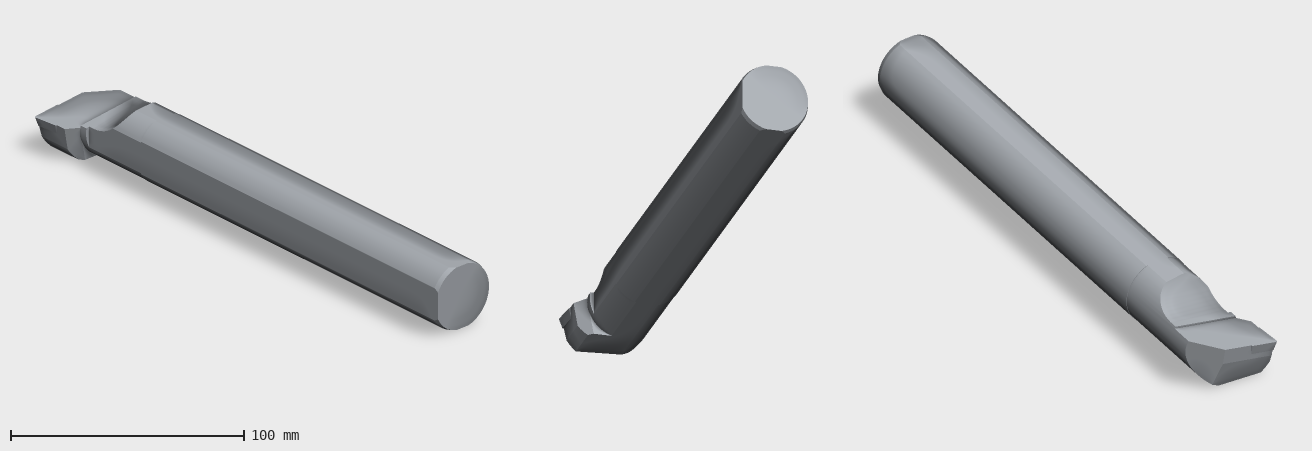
import cadquery as cq
import math

length = 251.2
shank_radius = 15.95
neck_radius = 15.73
flat_height = 30.0
side_flat_y = -13.95
neck_end = 59.8
side_flat_start = 26.5
rear_chamfer_length = 2.3
rear_chamfer_depth = 0.63

roll = 10.0
head_top = 4.0
floor_top = 5.0
head_body_radius = 21.0
nose_back = (22.5, -15.3)
nose_bevel = (17.8, -20.0)
front_corner = (0.63, -20.0)
chamfer_front = (2.8, 4.0)
chamfer_back = (19.5, 20.0)
step_low = (22.75, -15.8)
step_high = (25.0, 14.3)
scoop_start = 29.0
scoop_radius = 20.0
front_land = 7.0
front_relief = 10.0
front_lean = 5.0

insert_tip = (-0.08, -21.68)
insert_width = 12.7
insert_thickness = 4.5
insert_angle = 80.0
insert_relief = 7.0
nose_radius = 0.8
stud_diameter = 7.5

reach = 100.5


def box(x0, x1, y0, y1, z0, z1):
    return cq.Workplane("XY").box(x1 - x0, y1 - y0, z1 - z0, centered=False).translate((x0, y0, z0))


def rod(radius, x0, x1):
    return cq.Workplane("YZ").workplane(offset=x0).circle(radius).extrude(x1 - x0)


def rolled(body):
    """Turn a body from the level head position to its rolled position."""
    return body.rotate((0, 0, 0), (1, 0, 0), roll)


def make_shank():
    chamfer_start = length - rear_chamfer_length
    profile = [
        (0, 0), (0, neck_radius), (neck_end, neck_radius),
        (neck_end, shank_radius), (chamfer_start, shank_radius),
        (length, shank_radius - rear_chamfer_depth), (length, 0),
    ]
    bar = cq.Workplane("XY").polyline(profile).close().revolve(360, (0, 0, 0), (1, 0, 0))
    side = box(side_flat_start, length, -reach, side_flat_y, -reach, reach)
    return bar.cut(side)


def make_nose():
    """Side of the head that reaches beyond the round neck."""
    outline = [(0, 0), (0, front_corner[1]), nose_bevel, nose_back, (nose_back[0], 0)]
    block = rolled(
        cq.Workplane("XY").workplane(offset=-reach / 2).polyline(outline).close().extrude(reach)
    )
    return block.intersect(rod(head_body_radius, -reach, reach))


def make_front_cut():
    """Space in front of the leaning front face and the corner chamfer."""
    below = reach * math.tan(math.radians(front_lean))
    outline = [
        (-reach, -reach), (front_corner[0] - below, front_corner[1] - reach),
        front_corner, chamfer_front, chamfer_back, (-reach, chamfer_back[1]),
    ]
    return rolled(
        cq.Workplane("XY").workplane(offset=-reach / 2).polyline(outline).close().extrude(reach)
    )


def make_front_relief():
    """Wedge removed below the front land, leaning back toward the bottom."""
    top = head_top - front_land
    setback = reach * math.tan(math.radians(front_relief))
    wedge = (
        cq.Workplane("XZ").polyline([(-reach, top), (0, top), (setback, top - reach), (-reach, top - reach)])
        .close().extrude(reach, both=True)
    )
    wedge = wedge.rotate((0, 0, 0), (0, 0, 1), -front_lean).translate((*front_corner, 0))
    return rolled(wedge)


def make_scoop():
    """Space above the floor, rising along an arc to the top of the bar."""
    arc_mid_x = scoop_start + scoop_radius * math.sin(math.pi / 4)
    arc_mid_z = floor_top + scoop_radius * (1 - math.cos(math.pi / 4))
    scoop = (
        cq.Workplane("XZ").moveTo(-reach, floor_top).lineTo(scoop_start, floor_top)
        .threePointArc((arc_mid_x, arc_mid_z), (scoop_start + scoop_radius, floor_top + scoop_radius))
        .lineTo(-reach, floor_top + scoop_radius).close().extrude(reach, both=True)
    )
    return rolled(scoop)


def make_face_cut():
    """Lower the head face in front of the slanted step."""
    slope = (step_high[0] - step_low[0]) / (step_high[1] - step_low[1])
    axis_x = step_low[0] - slope * step_low[1]
    run = slope * reach
    cut = (
        cq.Workplane("XY").workplane(offset=head_top)
        .polyline([(-reach, -reach), (axis_x - run, -reach), (axis_x + run, reach), (-reach, reach)])
        .close().extrude(reach)
    )
    return rolled(cut)


insert_side = insert_width / math.sin(math.radians(insert_angle))
edge_lean = math.radians((90 - insert_angle) / 2)
long_step = insert_side * math.cos(edge_lean)
short_step = insert_side * math.sin(edge_lean)
tip_x, tip_y = insert_tip
insert_corners = [
    (tip_x, tip_y),
    (tip_x + long_step, tip_y + short_step),
    (tip_x + long_step + short_step, tip_y + long_step + short_step),
    (tip_x + short_step, tip_y + long_step),
]
insert_centre = (tip_x + (long_step + short_step) / 2, tip_y + (long_step + short_step) / 2)


def make_insert_blank():
    blank = (
        cq.Workplane("XY").workplane(offset=head_top).polyline(insert_corners).close()
        .extrude(-insert_thickness, taper=insert_relief)
    )
    return rolled(blank.edges("not #Z").fillet(nose_radius))


def make_stud():
    """Stud of the holder that fills the hole of the insert, flush with its face."""
    stud = (
        cq.Workplane("XY").workplane(offset=head_top - insert_thickness).center(*insert_centre)
        .circle(stud_diameter / 2).extrude(insert_thickness)
    )
    return rolled(stud)


def make_holder():
    half_height = flat_height / 2
    body = make_shank().union(make_nose())
    body = body.cut(box(-reach, length, -reach, reach, half_height, reach))
    body = body.cut(box(-reach, length, -reach, reach, -reach, -half_height))
    body = body.cut(make_front_cut()).cut(make_front_relief())
    body = body.cut(make_scoop()).cut(make_face_cut())
    return body.cut(make_insert())


def make_insert():
    return make_insert_blank().cut(make_stud())


holder = make_holder()
insert = make_insert()
result = cq.Compound.makeCompound([holder.solids().val(), insert.solids().val()])